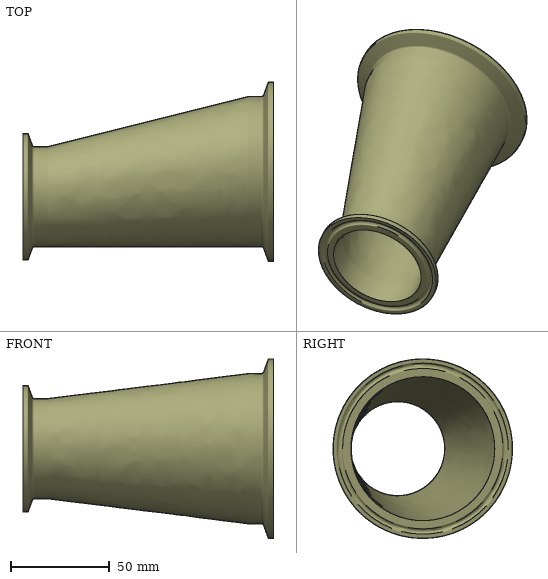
import cadquery as cq
import math

overall_length = 127.0
ferrule_length = 12.7
wall = 1.65

small_tube_diameter = 50.8
small_flange_diameter = 63.91

large_tube_diameter = 76.2
large_flange_diameter = 90.91

axis_offset = (large_tube_diameter - small_tube_diameter) / 2

rim_thickness = 2.7
flange_back_angle = 20.0
flange_root_fillet = 1.0
rim_edge_fillet = 0.5

groove_inset = 3.5
groove_width = 2.8
groove_depth = 1.2
groove_edge_fillet = 0.4

pick_tolerance = 0.1


def circles_at(x, reach):
    """Selector for the circular edges at one X position."""
    return cq.selectors.BoxSelector(
        (x - pick_tolerance, -reach, -reach),
        (x + pick_tolerance, reach, reach),
    )


def ferrule_body(tube_diameter, flange_diameter):
    """Solid ferrule with its face at X = 0 and its tube toward +X."""
    tube_radius = tube_diameter / 2
    flange_radius = flange_diameter / 2
    back_slope = math.tan(math.radians(flange_back_angle))
    root_x = rim_thickness + (flange_radius - tube_radius) * back_slope
    body = (
        cq.Workplane("XY")
        .moveTo(0, 0)
        .lineTo(0, flange_radius)
        .lineTo(rim_thickness, flange_radius)
        .lineTo(root_x, tube_radius)
        .lineTo(ferrule_length, tube_radius)
        .lineTo(ferrule_length, 0)
        .close()
        .revolve(360, (0, 0, 0), (1, 0, 0))
    )
    body = body.edges(circles_at(root_x, flange_radius)).fillet(flange_root_fillet)
    return body.edges(circles_at(rim_thickness, flange_radius)).fillet(rim_edge_fillet)


def cut_gasket_groove(body, groove_radius):
    """Cut the gasket groove into the face at X = 0 of an unbored ferrule and round its edges."""
    inner_radius = groove_radius - groove_width / 2
    outer_radius = groove_radius + groove_width / 2
    groove = (
        cq.Workplane("XY")
        .moveTo(0, inner_radius)
        .threePointArc((groove_depth, groove_radius), (0, outer_radius))
        .close()
        .revolve(360, (0, 0, 0), (1, 0, 0))
    )
    grooved = body.cut(groove)
    groove_edges = [
        edge
        for edge in grooved.faces("<X").edges("%CIRCLE").vals()
        if edge.radius() < outer_radius + pick_tolerance
    ]
    return grooved.newObject(groove_edges).fillet(groove_edge_fillet)


def ferrule(tube_diameter, flange_diameter):
    """Grooved, bored ferrule with its face at X = 0."""
    body = ferrule_body(tube_diameter, flange_diameter)
    body = cut_gasket_groove(body, flange_diameter / 2 - groove_inset)
    bore = cq.Workplane("YZ").circle(tube_diameter / 2 - wall).extrude(ferrule_length)
    return body.cut(bore)


def eccentric_cone(small_diameter, large_diameter):
    """Loft between the offset circles where the two ferrules end."""
    return (
        cq.Workplane("YZ", origin=(ferrule_length, -axis_offset, 0))
        .circle(small_diameter / 2)
        .workplane(offset=overall_length - 2 * ferrule_length)
        .center(axis_offset, 0)
        .circle(large_diameter / 2)
        .loft(ruled=True)
    )


small_ferrule = ferrule(small_tube_diameter, small_flange_diameter).translate((0, -axis_offset, 0))

large_ferrule = (
    ferrule(large_tube_diameter, large_flange_diameter)
    .rotate((0, 0, 0), (0, 0, 1), 180)
    .translate((overall_length, 0, 0))
)

cone_outside = eccentric_cone(small_tube_diameter, large_tube_diameter)
cone_inside = eccentric_cone(small_tube_diameter - 2 * wall, large_tube_diameter - 2 * wall)
cone = cone_outside.cut(cone_inside)

result = cone.union(small_ferrule).union(large_ferrule)